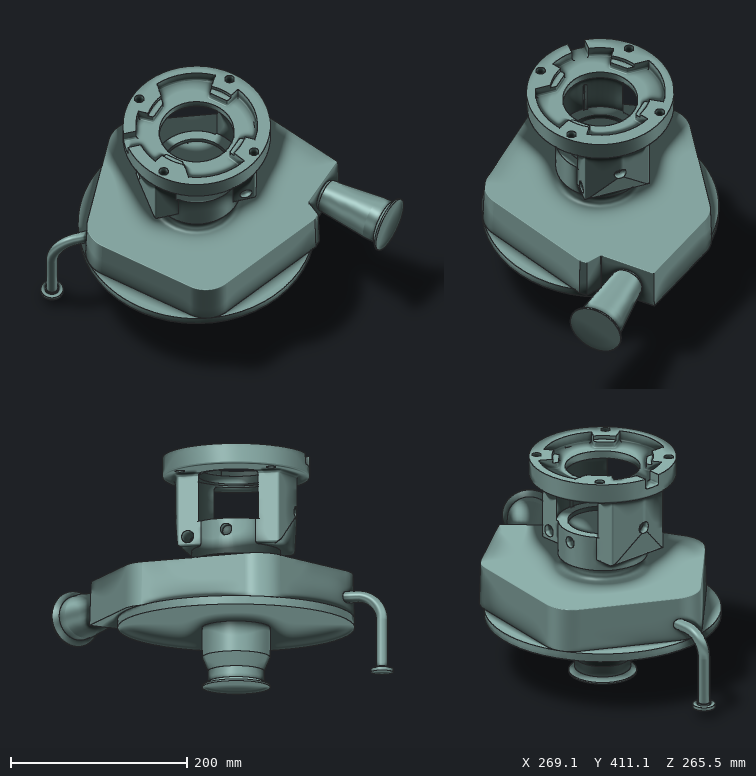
import math

import cadquery as cq

OVERLAP = 2.0

total_height = 265.5
plate_bottom_z = 69.0
plate_top_z = 78.7
casing_top_z = 129.5
collar_bottom_z = 145.3
collar_top_z = 186.2
flange_thickness = 23.5
flange_bottom_z = total_height - flange_thickness

suction_radius = 38.7
suction_neck_radius = 32.0
suction_cone_bottom_z = 18.7
suction_cone_top_z = 34.6
suction_ferrule_height = 6.0
ferrule_lip = 2.0

plate_diameter = 269.09
plate_radius = plate_diameter / 2

casing_apothem = 115.5
casing_wall_angle = 27.0
casing_side_step = 72.0
casing_corner_radius = 35.0
casing_draft = 1.5
casing_edge_round = 0.8
scroll_wall_angle = 126.0
scroll_wall_distance = 140.4
outlet_angle = 45.0
outlet_notch = (41.3, 122.0)
shoulder_tip = (60.4, 128.0)
shoulder_face_angle = 49.0

outlet_offset = 90.7
outlet_z = (plate_top_z + casing_top_z) / 2
outlet_root_radius = 17.0
outlet_root_distance = 114.0
outlet_cone_start_radius = 18.9
outlet_cone_start = 118.0
outlet_pipe_radius = 25.4
outlet_pipe_start = 180.4
outlet_ferrule_radius = 31.75
outlet_ferrule_start = 193.5
outlet_end = 200.5

drain_pipe_radius = 6.6
drain_z = 98.4
drain_start_y = -110.0
drain_bend_start_y = -141.7
drain_bend_radius = 28.2
drain_ferrule_radius = 12.8
drain_ferrule_bottom_z = 9.6
drain_ferrule_thickness = 4.0
drain_ferrule_neck_radius = 8.0
drain_ferrule_neck_height = 2.0

neck_radius = 45.1
neck_fillet = 10.0
collar_radius = 50.6
collar_recess_radius = 39.5
collar_recess_depth = 5.0
collar_hole_radius = 6.6
collar_hole_z = 173.3
collar_hole_depth = 12.0

leg_half_width = 39.2
leg_bottom_z = 157.2
leg_shoulder_y = 59.1
leg_ridge_y = 71.1
leg_ridge_round = 10.0
leg_edge_round = 2.8
leg_toe_round = 8.5
leg_toe_y = 59.0
leg_slope_top_z = 196.8
leg_bore_radius = 52.4
leg_bore_top_z = 244.0
leg_root_fillet = 4.0
leg_hole_radius = 7.0
leg_hole_z = 199.0
leg_hole_floor_y = 60.0
leg_slit_width = 4.4
leg_slit_height = 52.0
cross_hole_y = 47.3
cross_hole_z = 169.0
cross_hole_radius = 7.0

flange_radius = 83.7
flange_edge_round = 2.2
flange_bore_radius = 42.5
pocket_depth = 12.5
pocket_floor_round = 2.9
boss_corner_round = 2.0
side_lobe_radius = 73.6
end_lobe_radius = 69.0
lobe_half_angle = 32.0
side_lobe_lower_y = -28.0
pocket_core_flat = 49.8
register_radius = 57.5
register_depth = 4.5
notch_width = 20.0
mount_circle_radius = 75.0
mount_hole_radius = 5.3
DIAGONALS = (45, 135, 225, 315)


def polar(radius, angle):
    """Point at the given radius and angle (degrees) from the axis."""
    return (radius * math.cos(math.radians(angle)), radius * math.sin(math.radians(angle)))


def wall_crossing(distance_a, angle_a, distance_b, angle_b):
    """Corner of two walls given by distance from the axis and normal direction."""
    ax, ay = polar(1, angle_a)
    bx, by = polar(1, angle_b)
    det = ax * by - ay * bx
    return ((distance_a * by - distance_b * ay) / det, (ax * distance_b - bx * distance_a) / det)


def cylinder(radius, bottom_z, top_z):
    return cq.Workplane("XY").workplane(offset=bottom_z).circle(radius).extrude(top_z - bottom_z)


def suction_and_plate():
    profile = (
        cq.Workplane("XZ")
        .moveTo(0, 0)
        .lineTo(suction_radius, 0)
        .lineTo(suction_radius, ferrule_lip)
        .lineTo(suction_neck_radius, suction_ferrule_height)
        .lineTo(suction_neck_radius, suction_cone_bottom_z)
        .lineTo(suction_radius, suction_cone_top_z)
        .lineTo(suction_radius, plate_bottom_z)
        .lineTo(plate_radius, plate_bottom_z)
        .lineTo(plate_radius, plate_top_z)
        .lineTo(0, plate_top_z)
        .close()
    )
    return profile.revolve(360, (0, 0), (0, 1))


def casing():
    wall_angles = [casing_wall_angle - i * casing_side_step for i in range(4)]
    pentagon_corners = [
        wall_crossing(casing_apothem, a, casing_apothem, b) for a, b in zip(wall_angles, wall_angles[1:])
    ]
    last_wall_angle = wall_angles[-1]
    scroll_corner = wall_crossing(casing_apothem, last_wall_angle, scroll_wall_distance, scroll_wall_angle)
    outlet_corner = wall_crossing(scroll_wall_distance, scroll_wall_angle, casing_apothem, outlet_angle)
    shoulder_normal = polar(1, shoulder_face_angle)
    shoulder_distance = shoulder_tip[0] * shoulder_normal[0] + shoulder_tip[1] * shoulder_normal[1]
    shoulder_corner = wall_crossing(
        casing_apothem, casing_wall_angle, shoulder_distance, shoulder_face_angle
    )
    rounded_corners = pentagon_corners + [scroll_corner]
    outline = [shoulder_corner] + rounded_corners + [outlet_corner, outlet_notch, shoulder_tip]
    height = casing_top_z - plate_top_z
    body = (
        cq.Workplane("XY")
        .workplane(offset=plate_top_z)
        .polyline(outline)
        .close()
        .extrude(height, taper=casing_draft)
    )
    mid_z = casing_top_z - height / 2
    for x, y in rounded_corners:
        body = body.edges(cq.selectors.NearestToPointSelector((x, y, mid_z))).fillet(casing_corner_radius)
    return body.faces(">Z").edges().fillet(casing_edge_round)


def outlet():
    profile = (
        cq.Workplane("XY")
        .moveTo(outlet_root_distance - OVERLAP, 0)
        .lineTo(outlet_root_distance - OVERLAP, outlet_root_radius)
        .lineTo(outlet_root_distance, outlet_root_radius)
        .lineTo(outlet_cone_start, outlet_cone_start_radius)
        .lineTo(outlet_pipe_start, outlet_pipe_radius)
        .lineTo(outlet_ferrule_start, outlet_pipe_radius)
        .lineTo(outlet_end - ferrule_lip, outlet_ferrule_radius)
        .lineTo(outlet_end, outlet_ferrule_radius)
        .lineTo(outlet_end, 0)
        .close()
    )
    body = profile.revolve(360, (0, 0), (1, 0))
    return body.translate((0, outlet_offset, outlet_z)).rotate((0, 0, 0), (0, 0, 1), outlet_angle)


def drain():
    drop_y = drain_bend_start_y - drain_bend_radius
    bend_end_z = drain_z - drain_bend_radius
    bend_offset = drain_bend_radius * math.sqrt(0.5)
    path = (
        cq.Workplane("YZ")
        .moveTo(drain_start_y, drain_z)
        .lineTo(drain_bend_start_y, drain_z)
        .threePointArc(
            (drain_bend_start_y - bend_offset, bend_end_z + bend_offset),
            (drop_y, bend_end_z),
        )
        .lineTo(drop_y, drain_ferrule_bottom_z)
    )
    pipe = (
        cq.Workplane("XZ", origin=(0, drain_start_y, drain_z))
        .circle(drain_pipe_radius)
        .sweep(path)
    )
    ferrule_top_z = drain_ferrule_bottom_z + drain_ferrule_thickness
    ferrule = cylinder(drain_ferrule_radius, drain_ferrule_bottom_z, ferrule_top_z)
    ferrule = ferrule.union(
        cylinder(drain_ferrule_neck_radius, drain_ferrule_bottom_z, ferrule_top_z + drain_ferrule_neck_height)
    )
    return pipe.union(ferrule.translate((0, drop_y, 0)))


def neck_and_collar():
    foot_radius = neck_radius + neck_fillet
    arc_offset = neck_fillet * math.sqrt(0.5)
    profile = (
        cq.Workplane("XZ")
        .moveTo(0, casing_top_z - OVERLAP)
        .lineTo(foot_radius, casing_top_z - OVERLAP)
        .lineTo(foot_radius, casing_top_z)
        .threePointArc(
            (foot_radius - arc_offset, casing_top_z + neck_fillet - arc_offset),
            (neck_radius, casing_top_z + neck_fillet),
        )
        .lineTo(neck_radius, collar_bottom_z)
        .lineTo(collar_radius, collar_bottom_z)
        .lineTo(collar_radius, collar_top_z)
        .lineTo(0, collar_top_z)
        .close()
    )
    return profile.revolve(360, (0, 0), (0, 1))


def legs():
    """Two opposite lantern legs with a ridged outer face and a sloping toe."""
    leg_height = flange_bottom_z - leg_bottom_z
    plan = [
        (-leg_half_width, leg_shoulder_y),
        (0, leg_ridge_y),
        (leg_half_width, leg_shoulder_y),
        (leg_half_width, -leg_shoulder_y),
        (0, -leg_ridge_y),
        (-leg_half_width, -leg_shoulder_y),
    ]
    body = (
        cq.Workplane("XY")
        .workplane(offset=leg_bottom_z)
        .polyline(plan)
        .close()
        .extrude(leg_height)
    )
    body = body.edges("|Z and (>Y or <Y)").fillet(leg_ridge_round)
    body = body.edges("|Z and (>X or <X)").fillet(leg_edge_round)
    side = [
        (-leg_toe_y, leg_bottom_z),
        (leg_toe_y, leg_bottom_z),
        (leg_ridge_y, leg_slope_top_z),
        (leg_ridge_y, flange_bottom_z),
        (-leg_ridge_y, flange_bottom_z),
        (-leg_ridge_y, leg_slope_top_z),
    ]
    envelope = cq.Workplane("YZ").polyline(side).close().extrude(leg_half_width, both=True)
    envelope = envelope.faces("<Z").edges("|X").fillet(leg_toe_round)
    slab = (
        cq.Workplane("XY")
        .workplane(offset=leg_bottom_z)
        .rect(2 * leg_half_width, 2 * leg_ridge_y)
        .extrude(leg_height)
    )
    slab = slab.faces("<Z").edges("|Y").fillet(leg_edge_round)
    return body.intersect(envelope).intersect(slab)


def lantern():
    """Legs joined to a plain flange disc, with fillets where they meet."""
    disc = cylinder(flange_radius, flange_bottom_z, total_height)
    disc = disc.faces("<Z").edges().fillet(flange_edge_round)
    body = disc.union(legs())
    reach = leg_ridge_y + OVERLAP
    root_zone = cq.selectors.BoxSelector(
        (-reach, -reach, flange_bottom_z - OVERLAP / 4),
        (reach, reach, flange_bottom_z + OVERLAP / 4),
    )
    body = body.edges(root_zone).fillet(leg_root_fillet)
    return body.cut(cylinder(leg_bore_radius, collar_top_z, leg_bore_top_z))


def sector(radius, centre_angle):
    """Flat wedge of the pocket, bounded by radial sides and an outer arc."""
    return (
        cq.Workplane("XY")
        .lineTo(*polar(radius, centre_angle - lobe_half_angle))
        .threePointArc(polar(radius, centre_angle), polar(radius, centre_angle + lobe_half_angle))
        .close()
        .extrude(pocket_depth)
    )


def side_lobe(centre_angle):
    """Side lobe of the pocket: radial above, level along its lower edge."""
    sign = math.copysign(1, math.cos(math.radians(centre_angle)))
    lower_x = sign * math.sqrt(side_lobe_radius**2 - side_lobe_lower_y**2)
    upper_x, upper_y = polar(side_lobe_radius, lobe_half_angle)
    return (
        cq.Workplane("XY")
        .lineTo(sign * upper_x, upper_y)
        .threePointArc((sign * side_lobe_radius, 0), (lower_x, side_lobe_lower_y))
        .lineTo(0, side_lobe_lower_y)
        .close()
        .extrude(pocket_depth)
    )


def flange_pocket():
    core_side = 2 * pocket_core_flat
    pocket = cq.Workplane("XY").rect(core_side, core_side).extrude(pocket_depth)
    pocket = pocket.rotate((0, 0, 0), (0, 0, 1), 45)
    core_limit = cq.Workplane("XY").circle(register_radius - OVERLAP).extrude(pocket_depth)
    pocket = pocket.intersect(core_limit)
    for angle in (90, 270):
        pocket = pocket.union(sector(end_lobe_radius, angle))
    for angle in (0, 180):
        pocket = pocket.union(side_lobe(angle))
    boss_zone = cq.selectors.BoxSelector(
        (-register_radius, -register_radius, 0),
        (register_radius, register_radius, pocket_depth),
    )
    notch_length = flange_radius + OVERLAP
    notch = (
        cq.Workplane("XY")
        .center(0, -notch_length / 2)
        .rect(notch_width, notch_length)
        .extrude(pocket_depth)
    )
    pocket = pocket.union(notch)
    pocket = pocket.edges("|Z").edges(boss_zone).fillet(boss_corner_round)
    pocket = pocket.faces("<Z").edges().fillet(pocket_floor_round)
    return pocket.translate((0, 0, total_height - pocket_depth))


def cut_flange(body):
    body = body.cut(flange_pocket())
    body = body.cut(cylinder(register_radius, total_height - register_depth, total_height))
    body = body.cut(cylinder(flange_bore_radius, flange_bottom_z, total_height))
    hole = cylinder(mount_hole_radius, flange_bottom_z, total_height)
    for angle in DIAGONALS:
        x, y = polar(mount_circle_radius, angle)
        body = body.cut(hole.translate((x, y, 0)))
    return body


def cut_leg_openings(body):
    """Stepped window in each leg: a round hole outside, a narrow slit inside."""
    for angle in (0, 180):
        hole = (
            cq.Workplane("XZ", origin=(0, -leg_hole_floor_y, leg_hole_z))
            .circle(leg_hole_radius)
            .extrude(leg_ridge_y - leg_hole_floor_y)
        )
        slit = (
            cq.Workplane("XZ", origin=(0, -collar_radius, leg_hole_z))
            .slot2D(leg_slit_height, leg_slit_width, 90)
            .extrude(leg_hole_floor_y - collar_radius)
        )
        opening = hole.union(slit)
        body = body.cut(opening.rotate((0, 0, 0), (0, 0, 1), angle))
    return body


def cut_collar(body):
    body = body.cut(cylinder(collar_recess_radius, collar_top_z - collar_recess_depth, collar_top_z))
    side_hole = (
        cq.Workplane("YZ", origin=(-collar_radius, 0, collar_hole_z))
        .circle(collar_hole_radius)
        .extrude(collar_hole_depth)
    )
    cross_hole = (
        cq.Workplane("YZ", origin=(0, cross_hole_y, cross_hole_z))
        .circle(cross_hole_radius)
        .extrude(leg_half_width, both=True)
    )
    return body.cut(side_hole).cut(cross_hole)


head = cut_leg_openings(cut_flange(lantern()).union(neck_and_collar()))
head = cut_collar(head)
result = suction_and_plate().union(casing()).union(outlet()).union(drain()).union(head)